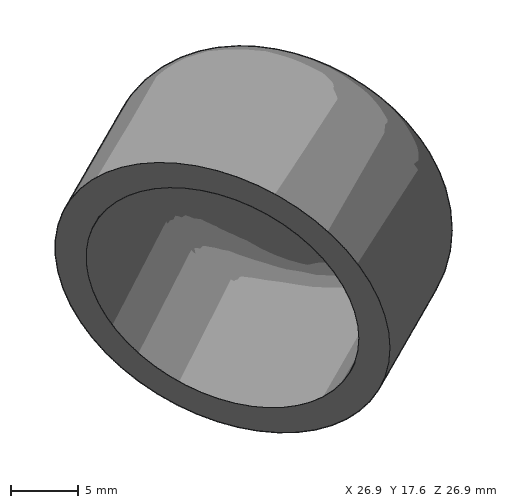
import cadquery as cq
import math

outer_radius = 13.45
bore_radius = 10.95
wall = outer_radius - bore_radius
height = 17.57
skirt_length = 11.03
knuckle_radius = 5.16

knuckle_center_x = outer_radius - knuckle_radius
dome_height = height - skirt_length
crown_radius = (knuckle_center_x**2 + dome_height**2 - knuckle_radius**2) / (
    2 * (dome_height - knuckle_radius)
)
crown_center_y = height - crown_radius

blend_angle = math.atan2(knuckle_center_x, skirt_length - crown_center_y)


def polar_point(center_x, center_y, radius, angle):
    """Point on an arc, with the angle measured from the +Y axis towards +X."""
    return (center_x + radius * math.sin(angle), center_y + radius * math.cos(angle))


def domed_solid(inset):
    """Solid of revolution bounded by the outer cap surface offset inwards."""
    knuckle = knuckle_radius - inset
    crown = crown_radius - inset
    knuckle_mid_angle = (blend_angle + math.pi / 2) / 2
    return (
        cq.Workplane("XY")
        .moveTo(0, 0)
        .lineTo(outer_radius - inset, 0)
        .lineTo(outer_radius - inset, skirt_length)
        .threePointArc(
            polar_point(knuckle_center_x, skirt_length, knuckle, knuckle_mid_angle),
            polar_point(knuckle_center_x, skirt_length, knuckle, blend_angle),
        )
        .threePointArc(
            polar_point(0, crown_center_y, crown, blend_angle / 2),
            (0, height - inset),
        )
        .close()
        .revolve(360, (0, 0, 0), (0, 1, 0))
    )


result = domed_solid(0).cut(domed_solid(wall))